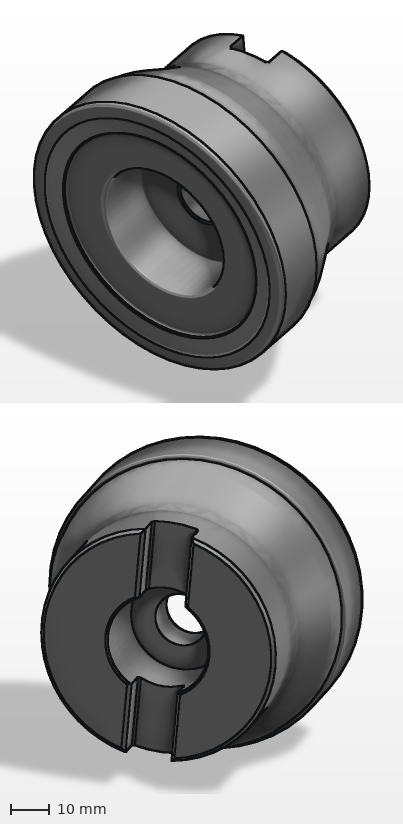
import cadquery as cq
import math

LENGTH = 50.0
FRONT_Y = -LENGTH / 2
BACK_Y = LENGTH / 2

FLANGE_DIAMETER = 79.9
FLANGE_BACK = 15.3
FLANGE_EDGE_RADIUS = 0.7
SHOULDER_DIAMETER = 77.7
SHOULDER_CORNER = 18.6
SHOULDER_RADIUS = 10.0
NECK_DIAMETER = 63.0
NECK_CORNER = 33.0
NECK_RADIUS = 7.5
BACK_CHAMFER = 0.95

LAYER_THICKNESS = 1.6
LAYER_EDGE_RADIUS = 1.0
FLAT_INNER_DIAMETER = 71.9
CONE_OUTER_DIAMETER = 70.6
CONE_OUTER_DEPTH = 0.2
CONE_INNER_DIAMETER = 61.8
CONE_INNER_DEPTH = 1.1
LAYER_BORE_DIAMETER = 61.35
LAYER_BORE_CHAMFER_DEPTH = 0.15

FLOOR_DEPTH = 2.5
FLOOR_CORNER_RADIUS = 0.55

COUNTERBORE_DIAMETER = 38.0
COUNTERBORE_FLOOR = 18.9
COUNTERBORE_MOUTH_RADIUS = 0.95
COUNTERBORE_CORNER_RADIUS = 0.3
HOLE_DIAMETER = 14.0
HOLE_CHAMFER = 0.5
BACK_BORE_DIAMETER = 27.0
BACK_BORE_DEPTH = 20.8
BACK_BORE_CHAMFER = (28.0 - BACK_BORE_DIAMETER) / 2

SLOT_WIDTH = 12.4
SLOT_DEPTH = 7.0
SLOT_TILT = 5.0
SLOT_MOUTH_CHAMFER = 0.95
SLOT_FLOOR_CHAMFER = 0.6


def turned(points):
    """Revolve an outline of (radius, distance from the front) about the Y axis."""
    profile = cq.Workplane("XY", origin=(0, FRONT_Y, 0)).polyline(points).close()
    return profile.revolve(360, (0, 0, 0), (0, 1, 0))


def circle_edges(solid, diameter, distance):
    """Select the circular edge of this diameter at this distance from the front."""
    tolerance = 0.01

    def matches(edge):
        same_place = abs(edge.Center().y - FRONT_Y - distance) < tolerance
        same_size = abs(edge.Length() - math.pi * diameter) < tolerance
        return same_place and same_size

    return solid.edges().filter(matches)


def make_hub_blank():
    flange = FLANGE_DIAMETER / 2
    shoulder = SHOULDER_DIAMETER / 2
    neck = NECK_DIAMETER / 2
    blank = turned([
        (0, LAYER_THICKNESS),
        (flange, LAYER_THICKNESS),
        (flange, FLANGE_BACK),
        (shoulder, FLANGE_BACK),
        (shoulder, SHOULDER_CORNER),
        (neck, NECK_CORNER),
        (neck, LENGTH),
        (0, LENGTH),
    ])
    blank = circle_edges(blank, FLANGE_DIAMETER, FLANGE_BACK).fillet(FLANGE_EDGE_RADIUS)
    blank = circle_edges(blank, SHOULDER_DIAMETER, SHOULDER_CORNER).fillet(SHOULDER_RADIUS)
    blank = circle_edges(blank, NECK_DIAMETER, NECK_CORNER).fillet(NECK_RADIUS)
    return circle_edges(blank, NECK_DIAMETER, LENGTH).chamfer(BACK_CHAMFER)


def make_face_recess():
    """Round recess that continues the layer bore, with a rounded floor corner."""
    recess = turned([
        (0, LAYER_THICKNESS),
        (LAYER_BORE_DIAMETER / 2, LAYER_THICKNESS),
        (LAYER_BORE_DIAMETER / 2, FLOOR_DEPTH),
        (0, FLOOR_DEPTH),
    ])
    return circle_edges(recess, LAYER_BORE_DIAMETER, FLOOR_DEPTH).fillet(FLOOR_CORNER_RADIUS)


def make_bores():
    """Counterbore, centre hole and back bore; the hole and the back bore have chamfered mouths."""
    counterbore = COUNTERBORE_DIAMETER / 2
    hole = HOLE_DIAMETER / 2
    back_bore = BACK_BORE_DIAMETER / 2
    back_bore_floor = LENGTH - BACK_BORE_DEPTH
    bores = turned([
        (0, FLOOR_DEPTH),
        (counterbore, FLOOR_DEPTH),
        (counterbore, COUNTERBORE_FLOOR),
        (hole + HOLE_CHAMFER, COUNTERBORE_FLOOR),
        (hole, COUNTERBORE_FLOOR + HOLE_CHAMFER),
        (hole, back_bore_floor),
        (back_bore, back_bore_floor),
        (back_bore, LENGTH - BACK_BORE_CHAMFER),
        (back_bore + BACK_BORE_CHAMFER, LENGTH),
        (0, LENGTH),
    ])
    floor_edge = circle_edges(bores, COUNTERBORE_DIAMETER, COUNTERBORE_FLOOR)
    return floor_edge.fillet(COUNTERBORE_CORNER_RADIUS)


def make_slot():
    """Through slot with chamfered mouth and floor corners, turned about the axis."""
    half = SLOT_WIDTH / 2
    floor = BACK_Y - SLOT_DEPTH
    outline = [
        (-half - SLOT_MOUTH_CHAMFER, BACK_Y),
        (-half, BACK_Y - SLOT_MOUTH_CHAMFER),
        (-half, floor + SLOT_FLOOR_CHAMFER),
        (-half + SLOT_FLOOR_CHAMFER, floor),
        (half - SLOT_FLOOR_CHAMFER, floor),
        (half, floor + SLOT_FLOOR_CHAMFER),
        (half, BACK_Y - SLOT_MOUTH_CHAMFER),
        (half + SLOT_MOUTH_CHAMFER, BACK_Y),
    ]
    slot = cq.Workplane("XY").polyline(outline).close().extrude(NECK_DIAMETER, both=True)
    return slot.rotate((0, 0, 0), (0, 1, 0), -SLOT_TILT)


def make_hub():
    hub = make_hub_blank().cut(make_face_recess()).cut(make_bores())
    mouth = circle_edges(hub, COUNTERBORE_DIAMETER, FLOOR_DEPTH)
    return mouth.fillet(COUNTERBORE_MOUTH_RADIUS).cut(make_slot())


def make_layer():
    """Ring on the front of the hub, rounded outside and coned inside."""
    outer = FLANGE_DIAMETER / 2
    ring = turned([
        (FLAT_INNER_DIAMETER / 2, 0),
        (outer, 0),
        (outer, LAYER_THICKNESS),
        (LAYER_BORE_DIAMETER / 2, LAYER_THICKNESS),
        (LAYER_BORE_DIAMETER / 2, CONE_INNER_DEPTH + LAYER_BORE_CHAMFER_DEPTH),
        (CONE_INNER_DIAMETER / 2, CONE_INNER_DEPTH),
        (CONE_OUTER_DIAMETER / 2, CONE_OUTER_DEPTH),
    ])
    return circle_edges(ring, FLANGE_DIAMETER, 0).fillet(LAYER_EDGE_RADIUS)


hub = make_hub()
facing_layer = make_layer()
result = cq.Compound.makeCompound([hub.val(), facing_layer.val()])